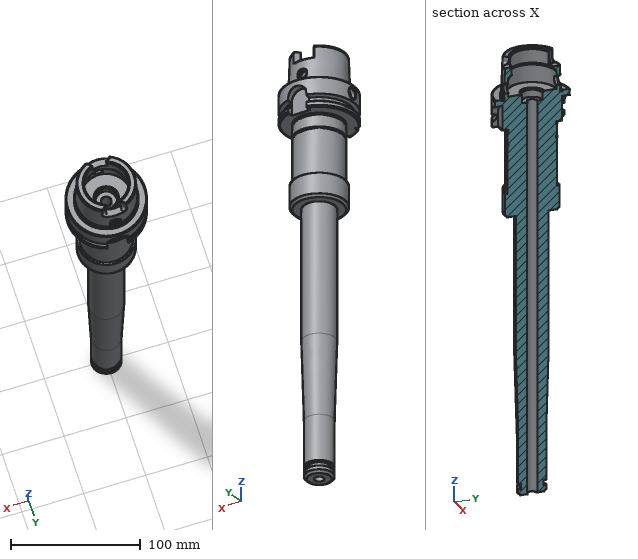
import cadquery as cq
import math

TOTAL_LENGTH = 367.5
SHANK_LENGTH = 32.0
FLANGE_LENGTH = 26.0
FLANGE_TOP = TOTAL_LENGTH - SHANK_LENGTH
FLANGE_BOTTOM = FLANGE_TOP - FLANGE_LENGTH
GROOVE_CENTER = FLANGE_TOP - 17.5
UPPER_NECK_GROOVE_TOP = FLANGE_BOTTOM - 0.5
LOWER_NECK_GROOVE_TOP = 297.3
COLLAR_TOP = 255.8
COLLAR_BOTTOM = 235.5
TAPER_TOP = 120.0
TAPER_BOTTOM = 50.5
NOSE_GROOVE_TOP = 9.5
NOSE_GROOVE_BOTTOM = 5.5

FLANGE_D = 63.0
SHANK_BASE_D = 48.0
SHANK_RELIEF_D = 47.0
FACE_GROOVE_D = 50.0
SHANK_TIP_D = 46.0
NECK_D = 42.0
NECK_GROOVE_D = 40.0
COLLAR_D = 46.0
SHAFT_D = 28.0
NOSE_D = 24.0
NOSE_GROOVE_D = 19.5
FLANGE_GROOVE_D = 55.0

SHANK_TIP_CHAMFER_HEIGHT = 1.5
SHANK_TIP_CHAMFER_WIDTH = 0.7
SHANK_RELIEF_WIDTH = 1.5
FACE_GROOVE_DEPTH = 1.0
FLANGE_CHAMFER = 0.7
FLANGE_BOTTOM_CHAMFER = 1.0
GROOVE_FLOOR_WIDTH = 3.0
GROOVE_UPPER_FLANK = 1.0
GROOVE_LOWER_FLANK = 2.5
NECK_GROOVE_WIDTH = 1.0
COLLAR_CHAMFER = 2.2
NOSE_CHAMFER = 2.2
NOSE_GROOVE_CHAMFER = 0.7

BORE_D = 34.0
BORE_MOUTH_D = 36.5
BORE_LIP_DEPTH = 12.5
CLAMP_RECESS_D = 40.0
BORE_DEPTH = 30.0
COOLANT_SEAT_D = 17.0
COOLANT_SEAT_MOUTH_D = 19.5
COOLANT_SEAT_DEPTH = 7.5
COOLANT_HOLE_D = 8.0

SLOT_INNER_WIDTH = 12.0
SLOT_OUTER_WIDTH = 19.5
FRONT_SLOT_DEPTH = 6.0
REAR_SLOT_DEPTH = 11.0
SLOT_CORNER_R = 2.2
SLOT_OVERCUT = 2.0
KEYWAY_WIDTH = 17.0
KEYWAY_ARC_Z = 321.5
KEYWAY_FLOOR = 25.0
CROSS_HOLE_D = 7.5
CROSS_HOLE_MOUTH_D = 9.0
CROSS_HOLE_MOUTH_DEPTH = 0.7
CROSS_HOLE_Z = 344.0
DATA_HOLE_D = 9.0
DATA_HOLE_MOUTH_D = 10.0
DATA_HOLE_MOUTH_DEPTH = 0.55
DATA_HOLE_Z = FLANGE_TOP - 7.5
DATA_HOLE_DEPTH = 4.8
NOTCH_X = -25.0
NOTCH_WIDTH = 10.0
NOTCH_ARC_Z = 325.0
NOTCH_FLOOR = 20.0


def outer_body():
    """Revolved outside of the holder, listed from the nose up."""
    flange_r = FLANGE_D / 2
    groove_r = FLANGE_GROOVE_D / 2
    floor_half = GROOVE_FLOOR_WIDTH / 2
    points = [
        (0, 0),
        (NOSE_D / 2 - NOSE_CHAMFER, 0),
        (NOSE_D / 2, NOSE_CHAMFER),
        (NOSE_D / 2, NOSE_GROOVE_BOTTOM),
        (NOSE_GROOVE_D / 2, NOSE_GROOVE_BOTTOM),
        (NOSE_GROOVE_D / 2, NOSE_GROOVE_TOP),
        (NOSE_D / 2 - NOSE_GROOVE_CHAMFER, NOSE_GROOVE_TOP),
        (NOSE_D / 2, NOSE_GROOVE_TOP + NOSE_GROOVE_CHAMFER),
        (NOSE_D / 2, TAPER_BOTTOM),
        (SHAFT_D / 2, TAPER_TOP),
        (SHAFT_D / 2, COLLAR_BOTTOM),
        (COLLAR_D / 2 - COLLAR_CHAMFER, COLLAR_BOTTOM),
        (COLLAR_D / 2, COLLAR_BOTTOM + COLLAR_CHAMFER),
        (COLLAR_D / 2, COLLAR_TOP),
        (NECK_D / 2, COLLAR_TOP),
        (NECK_D / 2, FLANGE_BOTTOM),
        (flange_r - FLANGE_BOTTOM_CHAMFER, FLANGE_BOTTOM),
        (flange_r, FLANGE_BOTTOM + FLANGE_BOTTOM_CHAMFER),
        (flange_r, GROOVE_CENTER - floor_half - GROOVE_LOWER_FLANK),
        (groove_r, GROOVE_CENTER - floor_half),
        (groove_r, GROOVE_CENTER + floor_half),
        (flange_r, GROOVE_CENTER + floor_half + GROOVE_UPPER_FLANK),
        (flange_r, FLANGE_TOP - FLANGE_CHAMFER),
        (flange_r - FLANGE_CHAMFER, FLANGE_TOP),
        (FACE_GROOVE_D / 2, FLANGE_TOP),
        (FACE_GROOVE_D / 2, FLANGE_TOP - FACE_GROOVE_DEPTH),
        (SHANK_RELIEF_D / 2, FLANGE_TOP - FACE_GROOVE_DEPTH),
        (SHANK_RELIEF_D / 2, FLANGE_TOP + SHANK_RELIEF_WIDTH),
        (SHANK_BASE_D / 2, FLANGE_TOP + SHANK_RELIEF_WIDTH),
        (SHANK_TIP_D / 2, TOTAL_LENGTH - SHANK_TIP_CHAMFER_HEIGHT),
        (SHANK_TIP_D / 2 - SHANK_TIP_CHAMFER_WIDTH, TOTAL_LENGTH),
        (0, TOTAL_LENGTH),
    ]
    return cq.Workplane("XZ").polyline(points).close().revolve(360, (0, 0), (0, 1))


def bore():
    """Revolved cutter: shank bore with clamping recess, coolant seat and through hole."""
    mouth_step = (BORE_MOUTH_D - BORE_D) / 2
    recess_step = (CLAMP_RECESS_D - BORE_D) / 2
    seat_step = (COOLANT_SEAT_MOUTH_D - COOLANT_SEAT_D) / 2
    lip_z = TOTAL_LENGTH - BORE_LIP_DEPTH
    floor_z = TOTAL_LENGTH - BORE_DEPTH
    seat_z = floor_z - COOLANT_SEAT_DEPTH
    points = [
        (0, 0),
        (COOLANT_HOLE_D / 2, 0),
        (COOLANT_HOLE_D / 2, seat_z),
        (COOLANT_SEAT_D / 2, seat_z),
        (COOLANT_SEAT_D / 2, floor_z - seat_step),
        (COOLANT_SEAT_MOUTH_D / 2, floor_z),
        (CLAMP_RECESS_D / 2, floor_z),
        (CLAMP_RECESS_D / 2, lip_z - recess_step),
        (BORE_D / 2, lip_z),
        (BORE_D / 2, TOTAL_LENGTH - mouth_step),
        (BORE_MOUTH_D / 2, TOTAL_LENGTH),
        (0, TOTAL_LENGTH),
    ]
    return cq.Workplane("XZ").polyline(points).close().revolve(360, (0, 0), (0, 1))


def drive_slot(depth, side):
    """Slot through the shank wall on the given Y side, flaring outward.

    The flared corners at the floor are rounded; the straight core keeps square corners.
    """
    inner_y = BORE_D / 2
    outer_y = SHANK_TIP_D / 2
    flare = (SLOT_OUTER_WIDTH - SLOT_INNER_WIDTH) / 2
    edge_y = math.sqrt(outer_y**2 - (SLOT_OUTER_WIDTH / 2) ** 2)
    slope = flare / (edge_y - inner_y)
    near_y = inner_y - SLOT_OVERCUT
    far_y = outer_y + SLOT_OVERCUT

    def half_width(y):
        return SLOT_INNER_WIDTH / 2 + slope * (y - inner_y)

    plan = [
        (-half_width(near_y), near_y),
        (half_width(near_y), near_y),
        (half_width(far_y), far_y),
        (-half_width(far_y), far_y),
    ]
    slot = cq.Workplane("XY", origin=(0, 0, TOTAL_LENGTH - depth)).polyline(plan).close()
    slot = slot.extrude(2 * depth)
    slot = slot.faces("<Z").edges("not |X").fillet(SLOT_CORNER_R)
    core = cq.Workplane("XY").box(SLOT_INNER_WIDTH, far_y - near_y, 2 * depth)
    slot = slot.union(core.translate((0, (near_y + far_y) / 2, TOTAL_LENGTH)))
    return slot if side > 0 else slot.mirror("XZ")


def round_top_slot(x, arc_z, width, floor_y):
    """Slot cutter from Y = floor_y outward, round at its top, open at the flange underside."""
    length = arc_z - FLANGE_BOTTOM
    plane = cq.Workplane("XZ", origin=(x, floor_y, arc_z))
    arc = plane.circle(width / 2).extrude(-FLANGE_D)
    straight = plane.center(0, -length / 2).rect(width, length).extrude(-FLANGE_D)
    return arc.union(straight)


def keyway(side):
    """Round-topped keyway with a flat floor on the given Y side of the flange."""
    cutter = round_top_slot(0, KEYWAY_ARC_Z, KEYWAY_WIDTH, KEYWAY_FLOOR)
    return cutter if side > 0 else cutter.mirror("XZ")


def index_notch():
    """Narrow round-topped notch at the -X -Y corner of the flange."""
    return round_top_slot(NOTCH_X, NOTCH_ARC_Z, NOTCH_WIDTH, NOTCH_FLOOR).mirror("XZ")


def neck_groove(top):
    """Narrow ring groove around the neck, below the given height."""
    ring = cq.Workplane("XY", origin=(0, 0, top)).circle(FLANGE_D / 2).circle(NECK_GROOVE_D / 2)
    return ring.extrude(-NECK_GROOVE_WIDTH)


def chamfered_hole(diameter, mouth_diameter, depth, mouth_distance):
    """Hole cutter along +Z from the mouth, widened by a 45 degree chamfer at the mouth."""
    step = (mouth_diameter - diameter) / 2
    points = [
        (0, 0),
        (mouth_diameter / 2, 0),
        (mouth_diameter / 2, mouth_distance),
        (diameter / 2, mouth_distance + step),
        (diameter / 2, depth),
        (0, depth),
    ]
    return cq.Workplane("XZ").polyline(points).close().revolve(360, (0, 0), (0, 1))


def cross_hole(side):
    """Chamfered radial hole through the shank wall on the given Y side."""
    start = SHANK_BASE_D / 2
    hole = chamfered_hole(CROSS_HOLE_D, CROSS_HOLE_MOUTH_D, start, CROSS_HOLE_MOUTH_DEPTH)
    hole = hole.rotate((0, 0, 0), (1, 0, 0), side * 90)
    return hole.translate((0, side * start, CROSS_HOLE_Z))


def data_hole():
    """Chamfered blind radial hole in the -X side of the flange."""
    hole = chamfered_hole(DATA_HOLE_D, DATA_HOLE_MOUTH_D, DATA_HOLE_DEPTH, DATA_HOLE_MOUTH_DEPTH)
    hole = hole.rotate((0, 0, 0), (0, 1, 0), 90)
    return hole.translate((-FLANGE_D / 2, 0, DATA_HOLE_Z))


result = outer_body().cut(bore())
result = result.cut(drive_slot(FRONT_SLOT_DEPTH, -1))
result = result.cut(drive_slot(REAR_SLOT_DEPTH, 1))
for y_side in (-1, 1):
    result = result.cut(keyway(y_side))
    result = result.cut(cross_hole(y_side))
for groove_top in (UPPER_NECK_GROOVE_TOP, LOWER_NECK_GROOVE_TOP):
    result = result.cut(neck_groove(groove_top))
result = result.cut(index_notch())
result = result.cut(data_hole())